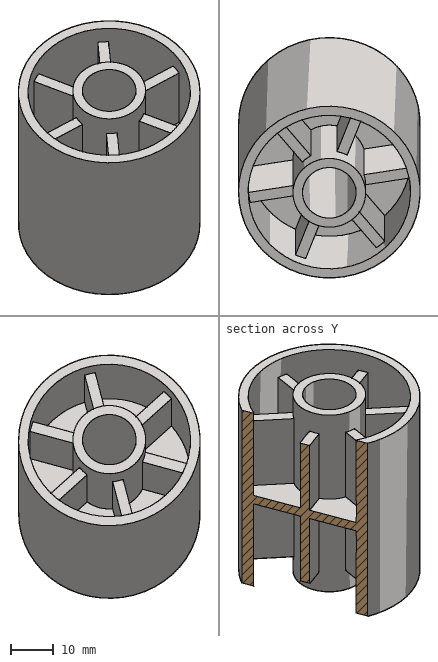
import cadquery as cq

hub_length = 50.5
shell_length = 49.5
shell_diameter = 42.5
shell_inner_diameter = 38.0
hub_diameter = 17.0
bore_diameter = 12.5

rib_count = 6
rib_thickness = 2.5
rib_recess = 5.0
web_thickness = 2.5

rib_height = shell_length - 2 * rib_recess
rib_inner_radius = (hub_diameter + bore_diameter) / 4
rib_outer_radius = (shell_diameter + shell_inner_diameter) / 4
rib_length = rib_outer_radius - rib_inner_radius


def tube(outer_diameter, inner_diameter, length):
    """Tube along Z, centred on the origin."""
    profile = cq.Workplane("XY").circle(outer_diameter / 2).circle(inner_diameter / 2)
    return profile.extrude(length).translate((0, 0, -length / 2))


def rib(angle):
    """Radial rib, turned from +Y by the given angle."""
    plate = cq.Workplane("XY").box(rib_thickness, rib_length, rib_height)
    centre_radius = (rib_inner_radius + rib_outer_radius) / 2
    return plate.translate((0, centre_radius, 0)).rotate((0, 0, 0), (0, 0, 1), angle)


shell = tube(shell_diameter, shell_inner_diameter, shell_length)
hub = tube(hub_diameter, bore_diameter, hub_length)
web = tube(2 * rib_outer_radius, 2 * rib_inner_radius, web_thickness)

result = shell.union(hub).union(web)
for index in range(rib_count):
    result = result.union(rib(index * 360 / rib_count))